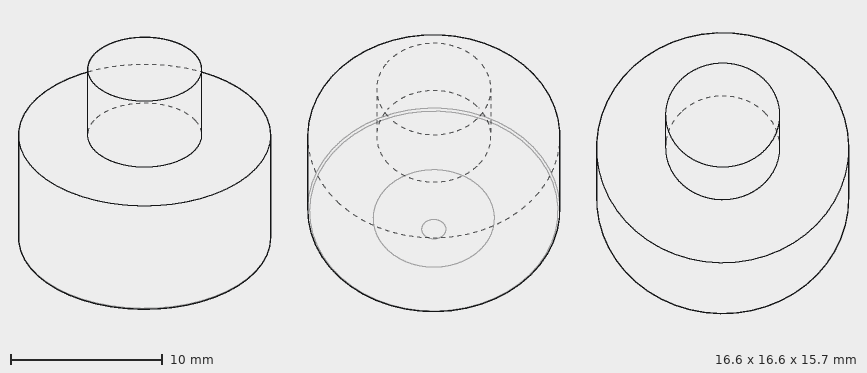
import cadquery as cq
import math

body_radius = 16.6 / 2
stem_radius = 7.5 / 2
total_height = 15.72
shoulder_height = 10.47

cone_angle = math.radians(11)
flare_radius = 3.98
flare_height = 1.36
tip_radius = 0.8
tip_height = 0.17
rim_fillet = 0.17

rim_height = flare_height + (body_radius - flare_radius) * math.tan(cone_angle)


def make_nosed_body():
    """Revolve the cylindrical body together with its pointed underside."""
    rim_setback = rim_fillet * math.tan((math.pi / 2 - cone_angle) / 2)
    fillet_end_radius = body_radius - rim_setback * math.cos(cone_angle)
    fillet_end_height = rim_height - rim_setback * math.sin(cone_angle)
    sphere_radius = (tip_radius**2 + tip_height**2) / (2 * tip_height)
    middle_radius = tip_radius / 2
    middle_height = sphere_radius - math.sqrt(sphere_radius**2 - middle_radius**2)
    profile = (
        cq.Workplane("XZ")
        .moveTo(0, shoulder_height)
        .lineTo(body_radius, shoulder_height)
        .lineTo(body_radius, rim_height + rim_setback)
        .tangentArcPoint((fillet_end_radius, fillet_end_height), relative=False)
        .lineTo(flare_radius, flare_height)
        .tangentArcPoint((tip_radius, tip_height), relative=False)
        .threePointArc((middle_radius, middle_height), (0, 0))
        .close()
    )
    return profile.revolve(360, (0, 0, 0), (0, 1, 0))


def make_stem():
    """Plain cylindrical stem standing on the shoulder."""
    stem_height = total_height - shoulder_height
    return cq.Workplane("XY", origin=(0, 0, shoulder_height)).circle(stem_radius).extrude(stem_height)


result = make_nosed_body().union(make_stem())